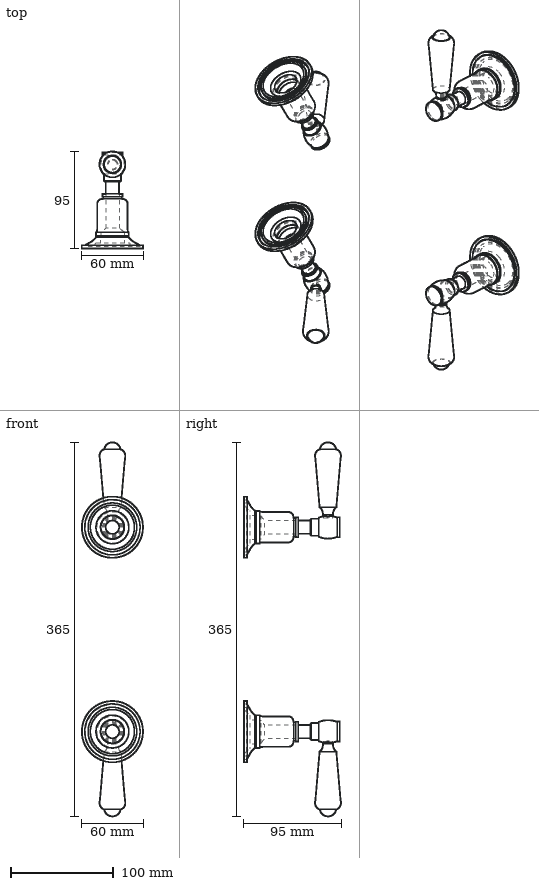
import cadquery as cq
import math


OVERALL_HEIGHT = 365.0
OVERALL_DEPTH = 95.0
LEVER_REACH = 82.8
TAP_HEIGHT = OVERALL_HEIGHT / 2 - LEVER_REACH
LEVER_RADIUS = 12.8
HUB_Y = OVERALL_DEPTH - LEVER_RADIUS

FLANGE_RADIUS = 30.0
RIM_THICKNESS = 3.3
FLARE_RADIUS = 26.5
FLARE_BEND_RADIUS = 23.0
FLARE_BEND_Y = 5.5
FLARE_TOP_Y = 11.0
FLARE_SAG = 0.55
GROOVE_OUTER_RADIUS = 27.0
GROOVE_INNER_RADIUS = 23.7
GROOVE_DEPTH = 2.2
MOUTH_RADIUS = 21.5
MOUTH_DEPTH = 6.0
FLANGE_BORE_RADIUS = 11.5

BARREL_RADIUS = 15.0
COLLAR_RADIUS = 16.0
BARREL_FOOT_Y = 12.5
COLLAR_TOP_Y = 15.7
BLEND_RADIUS = 15.5
BLEND_END_Y = 18.5
BARREL_SHOULDER_Y = 48.5
SHOULDER_ROUND = 5.0
BOSS_RADIUS = 9.0
RING_RADIUS = 10.0
RING_Y = 50.7
RING_TOP_Y = 53.3
BARREL_BORE_RADIUS = 11.3
BORE_END_Y = 16.5
BORE_CONE_DEPTH = 3.5

STEM_RADIUS = 6.5
STEM_START_Y = BORE_END_Y + BORE_CONE_DEPTH
NECK_RADIUS = 8.5
NECK_START_Y = 65.0
NECK_CHAMFER = 1.0
HEAD_RADIUS = 11.3
HEAD_END_RADIUS = 9.5
HEAD_START_Y = 73.0
CAP_RADIUS = 10.0
CAP_START_Y = 91.2
CAP_END_Y = 93.8

LEVER_SEAT = 9.5
LEVER_FOOT_RADIUS = 4.5
LEVER_WAIST_RADIUS = 5.0
LEVER_WAIST = 12.0
WAIST_SAG = 1.0
GRIP_START_RADIUS = 8.5
GRIP_START = 19.7
GRIP_START_BAND = 1.0
GRIP_END_RADIUS = 12.5
GRIP_END = 67.0
SHOULDER_WIDEST = 69.3
GRIP_TOP_RADIUS = 8.8
GRIP_TOP = 76.0
FINIAL_RADIUS = 8.0


def revolve_about_y(profile):
    """Revolve a (radius, y) profile around the tap axis."""
    return profile.close().revolve(360, (0, 0, 0), (0, 1, 0))


def make_flange():
    flange = revolve_about_y(
        cq.Workplane("ZY")
        .moveTo(MOUTH_RADIUS, 0)
        .lineTo(FLANGE_RADIUS, 0)
        .lineTo(FLANGE_RADIUS, RIM_THICKNESS)
        .lineTo(FLARE_RADIUS, RIM_THICKNESS)
        .lineTo(FLARE_BEND_RADIUS, FLARE_BEND_Y)
        .sagittaArc((COLLAR_RADIUS, FLARE_TOP_Y), FLARE_SAG)
        .lineTo(COLLAR_RADIUS, BARREL_FOOT_Y)
        .lineTo(FLANGE_BORE_RADIUS, BARREL_FOOT_Y)
        .lineTo(FLANGE_BORE_RADIUS, MOUTH_DEPTH)
        .lineTo(COLLAR_RADIUS, MOUTH_DEPTH)
    )
    groove = revolve_about_y(
        cq.Workplane("ZY")
        .moveTo(GROOVE_INNER_RADIUS, 0)
        .lineTo(GROOVE_OUTER_RADIUS, 0)
        .lineTo(GROOVE_OUTER_RADIUS, GROOVE_DEPTH)
        .lineTo(GROOVE_INNER_RADIUS, GROOVE_DEPTH)
    )
    return flange.cut(groove)


def make_barrel():
    round_start = (BARREL_RADIUS, BARREL_SHOULDER_Y - SHOULDER_ROUND)
    round_end = (BARREL_RADIUS - SHOULDER_ROUND, BARREL_SHOULDER_Y)
    round_drop = SHOULDER_ROUND * (1 - math.sqrt(0.5))
    round_middle = (BARREL_RADIUS - round_drop, BARREL_SHOULDER_Y - round_drop)
    return revolve_about_y(
        cq.Workplane("ZY")
        .moveTo(BARREL_BORE_RADIUS, BARREL_FOOT_Y)
        .lineTo(COLLAR_RADIUS, BARREL_FOOT_Y)
        .lineTo(COLLAR_RADIUS, COLLAR_TOP_Y)
        .lineTo(BLEND_RADIUS, COLLAR_TOP_Y)
        .lineTo(BARREL_RADIUS, BLEND_END_Y)
        .lineTo(*round_start)
        .threePointArc(round_middle, round_end)
        .lineTo(BOSS_RADIUS, BARREL_SHOULDER_Y)
        .lineTo(BOSS_RADIUS, RING_Y)
        .lineTo(RING_RADIUS, RING_Y)
        .lineTo(RING_RADIUS, RING_TOP_Y)
        .lineTo(STEM_RADIUS, RING_TOP_Y)
        .lineTo(STEM_RADIUS, STEM_START_Y)
        .lineTo(BARREL_BORE_RADIUS, BORE_END_Y)
    )


def make_hub(lever):
    """Stem, neck, bulging head and end cap on the tap axis, with a seat for the lever foot."""
    hub = revolve_about_y(
        cq.Workplane("XY")
        .moveTo(0, STEM_START_Y)
        .lineTo(STEM_RADIUS, STEM_START_Y)
        .lineTo(STEM_RADIUS, NECK_START_Y)
        .lineTo(NECK_RADIUS - NECK_CHAMFER, NECK_START_Y)
        .lineTo(NECK_RADIUS, NECK_START_Y + NECK_CHAMFER)
        .lineTo(NECK_RADIUS, HEAD_START_Y)
        .lineTo(HEAD_END_RADIUS, HEAD_START_Y)
        .threePointArc((HEAD_RADIUS, HUB_Y), (HEAD_END_RADIUS, CAP_START_Y))
        .lineTo(CAP_RADIUS, CAP_START_Y)
        .lineTo(CAP_RADIUS, CAP_END_Y)
        .lineTo(0, CAP_END_Y)
    )
    return hub.cut(lever)


def make_lever():
    """Lever standing on the head of the hub, revolved around its own vertical axis."""
    finial_height = LEVER_REACH - GRIP_TOP
    dome_radius = (FINIAL_RADIUS**2 + finial_height**2) / (2 * finial_height)
    dome_half_angle = math.asin(FINIAL_RADIUS / dome_radius) / 2
    dome_middle = (
        dome_radius * math.sin(dome_half_angle),
        LEVER_REACH - dome_radius * (1 - math.cos(dome_half_angle)),
    )
    profile = (
        cq.Workplane("YZ")
        .moveTo(0, LEVER_SEAT)
        .lineTo(LEVER_FOOT_RADIUS, LEVER_SEAT)
        .lineTo(LEVER_FOOT_RADIUS, LEVER_WAIST)
        .lineTo(LEVER_WAIST_RADIUS, LEVER_WAIST)
        .sagittaArc((GRIP_START_RADIUS, GRIP_START), WAIST_SAG)
        .lineTo(GRIP_START_RADIUS, GRIP_START + GRIP_START_BAND)
        .lineTo(GRIP_END_RADIUS, GRIP_END)
        .threePointArc((LEVER_RADIUS, SHOULDER_WIDEST), (GRIP_TOP_RADIUS, GRIP_TOP))
        .lineTo(FINIAL_RADIUS, GRIP_TOP)
        .threePointArc(dome_middle, (0, LEVER_REACH))
    )
    lever = profile.close().revolve(360, (0, 0, 0), (0, 1, 0))
    return lever.translate((0, HUB_Y, 0))


flange = make_flange()
barrel = make_barrel()
lever = make_lever()
hub = make_hub(lever)

bodies = []
for body in (flange, barrel, hub, lever):
    upper = body.translate((0, 0, TAP_HEIGHT))
    lower = upper.mirror("XY")
    bodies.append(upper.solids().val())
    bodies.append(lower.solids().val())

result = cq.Compound.makeCompound(bodies)